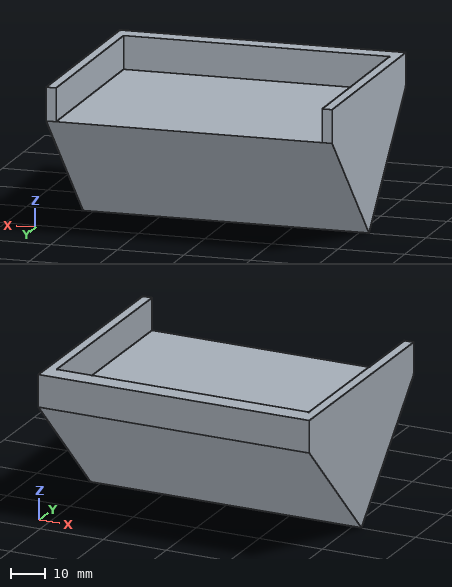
import cadquery as cq

length = 86.0
depth = 69.75
height = 45.0

rim_height = 10.0
side_wall = 3.0
front_wall = 6.0
pocket_depth = rim_height

keel_height = height - rim_height

body = (
    cq.Workplane("YZ")
    .moveTo(0, 0)
    .lineTo(depth / 2, keel_height)
    .lineTo(depth / 2, height)
    .lineTo(-depth / 2, height)
    .lineTo(-depth / 2, keel_height)
    .close()
    .extrude(length / 2, both=True)
)

pocket = cq.Workplane("XY").box(
    length - 2 * side_wall,
    depth - front_wall,
    pocket_depth,
    centered=(True, False, False),
).translate((0, front_wall - depth / 2, height - pocket_depth))

result = body.cut(pocket)